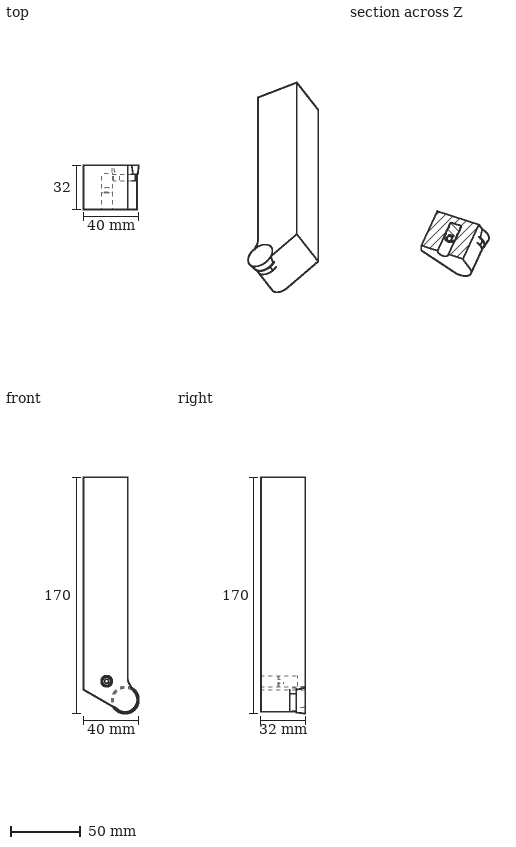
import cadquery as cq
import math

SHANK_SIZE = 32.0
TOTAL_LENGTH = 170.0
LOWER_FLANK_ANGLE = 30.0
UPPER_FLANK_ANGLE = 31.0
NOSE_RADIUS = 17.25 / 2
NOSE_MIDDLE_ANGLE = -45.0
NECK_FILLET = 8.0

INSERT_RADIUS = 10.0
INSERT_X = 30.0
INSERT_Z = INSERT_RADIUS
INSERT_THICKNESS = 6.5
INSERT_CLEARANCE = 7.0
INSERT_BASE_RADIUS = INSERT_RADIUS - INSERT_THICKNESS * math.tan(math.radians(INSERT_CLEARANCE))

SHIM_RADIUS = NOSE_RADIUS
SHIM_THICKNESS = 4.6

SCREW_X = 16.8
SCREW_Z = 23.4
HOLE_DIAMETER = 8.05
SCREW_DIAMETER = 8.0
SCREW_TIP_DIAMETER = 6.0
SCREW_CHAMFER = (SCREW_DIAMETER - SCREW_TIP_DIAMETER) / 2
SCREW_SETBACK = 12.0
SCREW_LENGTH = 14.0
HOLE_DEPTH = SCREW_SETBACK + SCREW_LENGTH
SOCKET_DIAMETER = 3.0
SOCKET_DEPTH = 4.0

INSERT_FLOOR_Y = SHANK_SIZE - INSERT_THICKNESS
SHIM_FLOOR_Y = INSERT_FLOOR_Y - SHIM_THICKNESS


def section_at(x, y, z):
    """Workplane whose normal points along +Y and whose local Y is -Z."""
    return cq.Workplane(cq.Plane(origin=(x, y, z), xDir=(1, 0, 0), normal=(0, 1, 0)))


def make_insert():
    base = section_at(INSERT_X, INSERT_FLOOR_Y, INSERT_Z).circle(INSERT_BASE_RADIUS)
    return base.extrude(INSERT_THICKNESS, taper=-INSERT_CLEARANCE)


def make_shim():
    return section_at(INSERT_X, SHIM_FLOOR_Y, INSERT_Z).circle(SHIM_RADIUS).extrude(SHIM_THICKNESS)


def make_screw():
    body = section_at(SCREW_X, SCREW_SETBACK, SCREW_Z).circle(SCREW_DIAMETER / 2).extrude(SCREW_LENGTH)
    body = body.faces("<Y").chamfer(SCREW_CHAMFER)
    socket = section_at(SCREW_X, SCREW_SETBACK, SCREW_Z).circle(SOCKET_DIAMETER / 2).extrude(SOCKET_DEPTH)
    return body.cut(socket)


def make_holder(insert, shim):
    lower_angle = math.radians(LOWER_FLANK_ANGLE)
    upper_angle = math.radians(UPPER_FLANK_ANGLE)
    lower_tangent = (
        INSERT_X - NOSE_RADIUS * math.sin(lower_angle),
        INSERT_Z - NOSE_RADIUS * math.cos(lower_angle),
    )
    upper_tangent = (
        INSERT_X + NOSE_RADIUS * math.cos(upper_angle),
        INSERT_Z + NOSE_RADIUS * math.sin(upper_angle),
    )
    middle_angle = math.radians(NOSE_MIDDLE_ANGLE)
    nose_middle = (
        INSERT_X + NOSE_RADIUS * math.cos(middle_angle),
        INSERT_Z + NOSE_RADIUS * math.sin(middle_angle),
    )
    heel_z = lower_tangent[1] + lower_tangent[0] * math.tan(lower_angle)
    neck_z = upper_tangent[1] + (upper_tangent[0] - SHANK_SIZE) / math.tan(upper_angle)

    outline = (
        cq.Workplane("XZ")
        .moveTo(0, heel_z)
        .lineTo(*lower_tangent)
        .threePointArc(nose_middle, upper_tangent)
        .lineTo(SHANK_SIZE, neck_z)
        .lineTo(SHANK_SIZE, TOTAL_LENGTH)
        .lineTo(0, TOTAL_LENGTH)
        .close()
    )
    body = outline.extrude(-SHANK_SIZE)
    neck_edge = cq.selectors.NearestToPointSelector((SHANK_SIZE, SHANK_SIZE / 2, neck_z))
    body = body.edges(neck_edge).fillet(NECK_FILLET)
    screw_hole = section_at(SCREW_X, 0, SCREW_Z).circle(HOLE_DIAMETER / 2).extrude(HOLE_DEPTH)
    return body.cut(screw_hole).cut(insert).cut(shim)


insert = make_insert()
shim = make_shim()
screw = make_screw()
holder = make_holder(insert, shim)
result = cq.Compound.makeCompound([holder.val(), insert.val(), shim.val(), screw.val()])